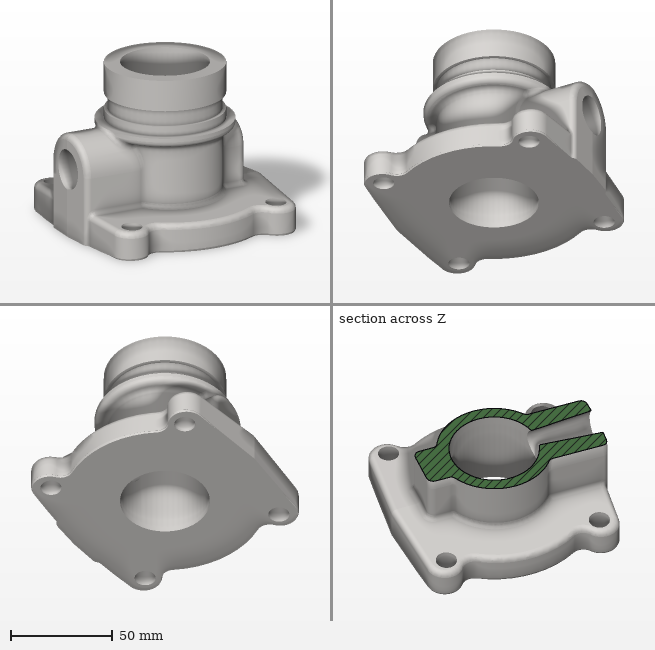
import cadquery as cq
import math

BULGE_R = 50.9
END_Y = 54.0
END_ANGLE = 5.0
BASE_TOP_Z = 17.0
PITCH_ANGLE = 3.0
PARTING_X = 29.0
FOOT_INSET = 0.4
LOBE_X = 40.2
LOBE_R = 9.3
NECK_R = 6.0
BOLT_OFFSET = 40.4
BOLT_R = 5.2

BORE_R = 22.2
BODY_R = 28.6
SPIGOT_R = 30.3
GROOVE_R = 28.4
COLLAR_R = 34.9
COLLAR_BOTTOM_Z = 48.9
COLLAR_TOP_Z = 53.9
GROOVE_BOTTOM_Z = 58.7
GROOVE_TOP_Z = 66.8
TOP_Z = 82.5

BOSS_R = 18.1
BOSS_Y = 54.9
PORT_Z = 35.0
PORT_MOUTH_R = 10.2
PORT_INNER_R = 8.3

RIB_R = 12.3
RIB_Y = 38.8
RIB_TOP_Z = COLLAR_BOTTOM_Z + 0.1

EDGE_R = 2.9
RIB_EDGE_R = 3.5
COLLAR_EDGE_R = 3.0
ROOT_R = 2.4

MARGIN = 10.9
TOUCH = 0.01
NEARLY_ALIGNED = 0.9

end_slope = math.tan(math.radians(END_ANGLE))
pitch = math.tan(math.radians(PITCH_ANGLE))


def base_outline():
    """Closed outline with four bolt lobes, two round flanks and two peaked ends."""
    end_cos = math.cos(math.radians(END_ANGLE))
    end_sin = math.sin(math.radians(END_ANGLE))
    lobe_y = END_Y - end_slope * LOBE_X - LOBE_R / end_cos
    to_neck = BULGE_R + NECK_R
    to_lobe = math.hypot(LOBE_X, lobe_y)
    reach = LOBE_R + NECK_R
    swing = math.acos((to_neck**2 + to_lobe**2 - reach**2) / (2 * to_neck * to_lobe))
    neck_angle = math.atan2(lobe_y, LOBE_X) - swing
    neck_x = to_neck * math.cos(neck_angle)
    neck_y = to_neck * math.sin(neck_angle)

    flank_end = (BULGE_R * math.cos(neck_angle), BULGE_R * math.sin(neck_angle))
    lobe_start = (LOBE_X + (neck_x - LOBE_X) * LOBE_R / reach, lobe_y + (neck_y - lobe_y) * LOBE_R / reach)
    lean = math.atan2(lobe_y - neck_y, LOBE_X - neck_x)
    neck_bend = (lean - neck_angle - math.pi) / 2 + neck_angle + math.pi
    neck_mid = (neck_x + NECK_R * math.cos(neck_bend), neck_y + NECK_R * math.sin(neck_bend))
    lobe_mid = (LOBE_X + LOBE_R * math.cos(math.pi / 8), lobe_y + LOBE_R * math.sin(math.pi / 8))
    lobe_end = (LOBE_X + LOBE_R * end_sin, lobe_y + LOBE_R * end_cos)

    def at(point, x_side, y_side):
        return (point[0] * x_side, point[1] * y_side)

    outline = cq.Workplane("XY").moveTo(*at(flank_end, 1, -1))
    for side in (1, -1):
        outline = (
            outline.threePointArc((side * BULGE_R, 0), at(flank_end, side, side))
            .threePointArc(at(neck_mid, side, side), at(lobe_start, side, side))
            .threePointArc(at(lobe_mid, side, side), at(lobe_end, side, side))
            .lineTo(0, side * END_Y)
            .lineTo(*at(lobe_end, -side, side))
            .threePointArc(at(lobe_mid, -side, side), at(lobe_start, -side, side))
            .threePointArc(at(neck_mid, -side, side), at(flank_end, -side, side))
        )
    return outline.close()


def pitched_slab(low_crest, high_crest):
    """Chevron slab along Y whose two faces fall away equally on both sides of X = 0."""
    half = BULGE_R + MARGIN
    fall = half * pitch
    return (
        cq.Workplane("XZ")
        .polyline([
            (-half, low_crest + fall), (0, low_crest), (half, low_crest + fall),
            (half, high_crest - fall), (0, high_crest), (-half, high_crest - fall),
        ])
        .close()
        .extrude(END_Y + MARGIN, both=True)
    )


def fillet_rim(part, facing, radius):
    """Round the edges of the faces looking along an axis, except creases at X = 0 and edges at Z = 0."""
    rim = []
    for face in part.faces().vals():
        if face.normalAt().dot(facing) > NEARLY_ALIGNED:
            rim += [e for e in face.Edges() if abs(e.Center().x) > TOUCH and e.Center().z > TOUCH]
    return part.newObject(rim).fillet(radius)


def make_base():
    """Pitched flange with rounded top edges and a wall drawn in below the parting line."""
    slab = pitched_slab(-PARTING_X * pitch, BASE_TOP_Z)
    flange = base_outline().extrude(BASE_TOP_Z).intersect(slab)
    flange = fillet_rim(flange, cq.Vector(0, 0, 1), EDGE_R)
    foot_height = (BULGE_R - PARTING_X) * pitch
    foot_draft = math.degrees(math.atan2(FOOT_INSET, foot_height))
    foot = base_outline().offset2D(-FOOT_INSET).extrude(foot_height, taper=-foot_draft)
    return flange.union(foot)


def disc(radius, bottom_z, top_z):
    return cq.Workplane("XY", origin=(0, 0, bottom_z)).circle(radius).extrude(top_z - bottom_z)


def arch(half_width, top_z):
    """Upright profile in XZ with a semicircular top."""
    spring_z = top_z - half_width
    return (
        cq.Workplane("XZ")
        .moveTo(-half_width, 0)
        .lineTo(-half_width, spring_z)
        .threePointArc((0, top_z), (half_width, spring_z))
        .lineTo(half_width, 0)
        .close()
    )


def make_boss():
    """Arched boss running forward from the axis, with a peaked and rounded front."""
    side_y = BOSS_Y - BOSS_R * pitch
    plan = (
        cq.Workplane("XY")
        .polyline([(-BOSS_R, 0), (-BOSS_R, -side_y), (0, -BOSS_Y), (BOSS_R, -side_y), (BOSS_R, 0)])
        .close()
        .extrude(PORT_Z + BOSS_R)
    )
    boss = arch(BOSS_R, PORT_Z + BOSS_R).extrude(BOSS_Y).intersect(plan)
    return fillet_rim(boss, cq.Vector(0, -1, 0), EDGE_R)


def make_rib():
    """Arched rib running back from the axis under the collar."""
    rib = arch(RIB_R, RIB_TOP_Z).extrude(-RIB_Y)
    return fillet_rim(rib, cq.Vector(0, 1, 0), RIB_EDGE_R)


def join_with_root_fillets(parts, top_z):
    """Fuse the parts and round every seam between two of them that lies below top_z."""
    joined = parts[0]
    for part in parts[1:]:
        joined = joined.union(part)

    seams = []
    for edge in joined.edges().vals():
        middle = edge.positionAt(0.5)
        point = cq.Vertex.makeVertex(*middle.toTuple())
        owners = [part for part in parts if part.val().distance(point) < TOUCH]
        if len(owners) > 1 and middle.z < top_z:
            seams.append(edge)
    return joined.newObject(seams).fillet(ROOT_R)


collar = disc(COLLAR_R, COLLAR_BOTTOM_Z, COLLAR_TOP_Z).faces("<Z").edges().fillet(COLLAR_EDGE_R)
body = disc(BODY_R, 0, COLLAR_TOP_Z)
casting = join_with_root_fillets(
    [make_base(), body, collar, make_boss(), make_rib()],
    COLLAR_BOTTOM_Z + TOUCH,
)

spigot = (
    disc(SPIGOT_R, COLLAR_TOP_Z, GROOVE_BOTTOM_Z)
    .union(disc(GROOVE_R, GROOVE_BOTTOM_Z, GROOVE_TOP_Z))
    .union(disc(SPIGOT_R, GROOVE_TOP_Z, TOP_Z))
)

bore = disc(BORE_R, 0, TOP_Z)
port = (
    cq.Workplane("XZ", origin=(0, -BOSS_Y, PORT_Z))
    .circle(PORT_MOUTH_R)
    .workplane(offset=BORE_R - BOSS_Y)
    .circle(PORT_INNER_R)
    .workplane(offset=-BORE_R)
    .circle(PORT_INNER_R)
    .loft(ruled=True)
)
bolt_holes = (
    cq.Workplane("XY")
    .rect(2 * BOLT_OFFSET, 2 * BOLT_OFFSET, forConstruction=True)
    .vertices()
    .circle(BOLT_R)
    .extrude(BASE_TOP_Z)
)

result = casting.union(spigot).cut(bore).cut(port).cut(bolt_holes)